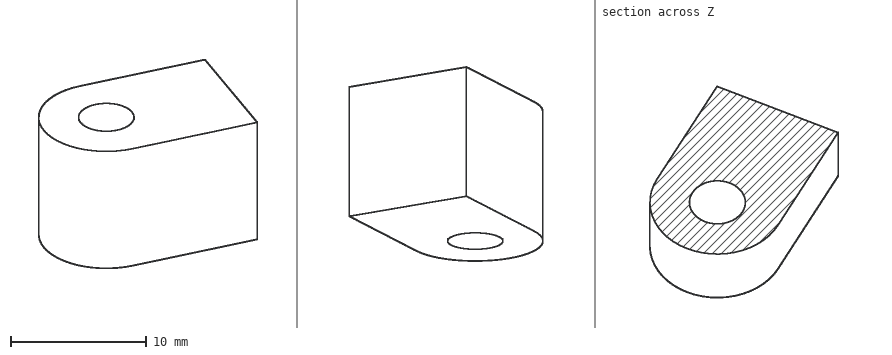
import cadquery as cq

length = 15.0
width = 10.0
height = width

end_radius = width / 2
hole_diameter = 4.1
straight_length = length - end_radius


def block():
    """Upright block with a flat back (+Y) and a half-round front (-Y)."""
    return (
        cq.Workplane("XY")
        .moveTo(-end_radius, 0)
        .threePointArc((0, -end_radius), (end_radius, 0))
        .lineTo(end_radius, straight_length)
        .lineTo(-end_radius, straight_length)
        .close()
        .extrude(height)
    )


def hole():
    """Vertical cylinder on the axis of the rounded end."""
    return cq.Workplane("XY").circle(hole_diameter / 2).extrude(height)


result = block().cut(hole())